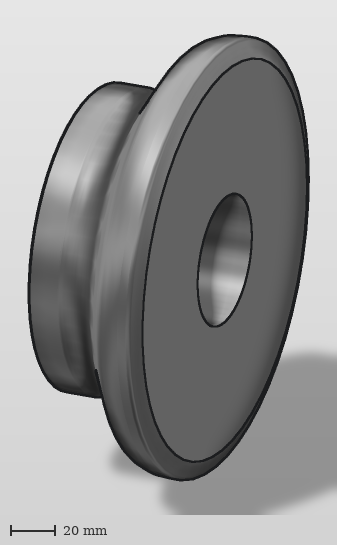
import cadquery as cq
import math

width = 65.0
rim_radius = 100.0
hub_radius = 70.0
bore_radius = 30.0

hub_chamfer = 0.8
hub_end = 14.5
neck_start = 15.5
neck_center = 19.5
neck_arc_radius = 15.4
flank_angle = math.radians(58)

flank_end = 44.0
crown_start = 47.5
crown_end = 56.5
crown_arc_radius = 19.5
rim_flat_end = 60.5
back_round_end = 62.5
back_round_radius = 98.3
back_face_radius = 91.0

entry_angle = math.asin((neck_center - neck_start) / neck_arc_radius)
entry_drop = (neck_start - hub_end) * math.tan(entry_angle / 2)
neck_start_radius = hub_radius - entry_drop
neck_arc_center_radius = neck_start_radius + neck_arc_radius * math.cos(entry_angle)
neck_bottom_radius = neck_arc_center_radius - neck_arc_radius
flank_start = neck_center + neck_arc_radius * math.sin(flank_angle)
flank_start_radius = neck_arc_center_radius - neck_arc_radius * math.cos(flank_angle)
flank_end_radius = flank_start_radius + (flank_end - flank_start) * math.tan(flank_angle)


def crown_radius(x):
    """Wheel radius on the crown arc at axial position x."""
    rise = math.sqrt(crown_arc_radius**2 - (crown_end - x) ** 2)
    return rim_radius - crown_arc_radius + rise


profile = (
    cq.Workplane("XY")
    .moveTo(0, bore_radius)
    .lineTo(0, hub_radius - hub_chamfer)
    .lineTo(hub_chamfer, hub_radius)
    .lineTo(hub_end, hub_radius)
    .tangentArcPoint((neck_start, neck_start_radius), relative=False)
    .threePointArc((neck_center, neck_bottom_radius), (flank_start, flank_start_radius))
    .lineTo(flank_end, flank_end_radius)
    .tangentArcPoint((crown_start, crown_radius(crown_start)), relative=False)
    .threePointArc(
        ((crown_start + crown_end) / 2, crown_radius((crown_start + crown_end) / 2)),
        (crown_end, rim_radius),
    )
    .lineTo(rim_flat_end, rim_radius)
    .tangentArcPoint((back_round_end, back_round_radius), relative=False)
    .tangentArcPoint((width, back_face_radius), relative=False)
    .lineTo(width, bore_radius)
    .close()
)

result = profile.revolve(360, (0, 0, 0), (1, 0, 0))